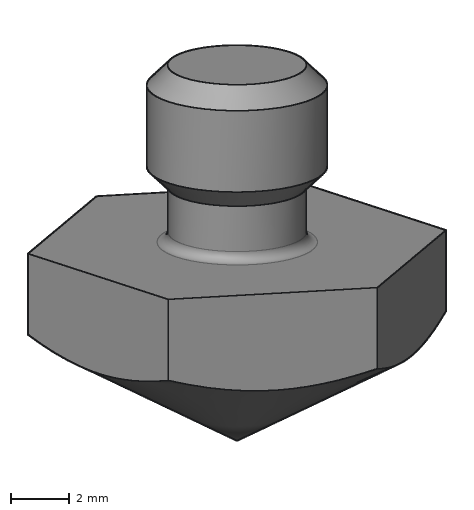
import cadquery as cq
import math

across_flats = 12.7
head_top = 7.144
point_angle = 120.0
envelope_clearance = 1.0

shank_length = 6.35
shank_diameter = 6.22
neck_diameter = 4.78
collar_length = 2.92
neck_fillet = 0.37

across_corners = across_flats / math.cos(math.radians(30))
corner_radius = across_corners / 2
shank_radius = shank_diameter / 2
neck_radius = neck_diameter / 2
bevel = shank_radius - neck_radius
total_height = head_top + shank_length


def make_head():
    """Hexagonal prism, corners on Y, with its lower end turned to a point at the origin."""
    prism = (
        cq.Workplane("XY")
        .polygon(6, across_corners)
        .extrude(head_top)
        .rotate((0, 0, 0), (0, 0, 1), 90)
    )
    cone_radius = corner_radius + envelope_clearance
    cone_height = cone_radius / math.tan(math.radians(point_angle / 2))
    pointed_envelope = (
        cq.Workplane("XZ")
        .polyline([(0, 0), (cone_radius, cone_height), (cone_radius, head_top), (0, head_top)])
        .close()
        .revolve(360, (0, 0, 0), (0, 1, 0))
    )
    return prism.intersect(pointed_envelope)


def make_shank():
    """Turned shank: filleted neck below a collar bevelled at both ends."""
    collar_top = total_height - bevel
    collar_bottom = collar_top - collar_length
    fillet_top = head_top + neck_fillet
    fillet_outer = neck_radius + neck_fillet
    fillet_reach = neck_fillet * (1 - math.sqrt(0.5))
    return (
        cq.Workplane("XZ")
        .moveTo(0, head_top)
        .lineTo(fillet_outer, head_top)
        .threePointArc(
            (neck_radius + fillet_reach, head_top + fillet_reach),
            (neck_radius, fillet_top),
        )
        .lineTo(neck_radius, collar_bottom - bevel)
        .lineTo(shank_radius, collar_bottom)
        .lineTo(shank_radius, collar_top)
        .lineTo(neck_radius, total_height)
        .lineTo(0, total_height)
        .close()
        .revolve(360, (0, 0, 0), (0, 1, 0))
    )


result = make_head().union(make_shank())